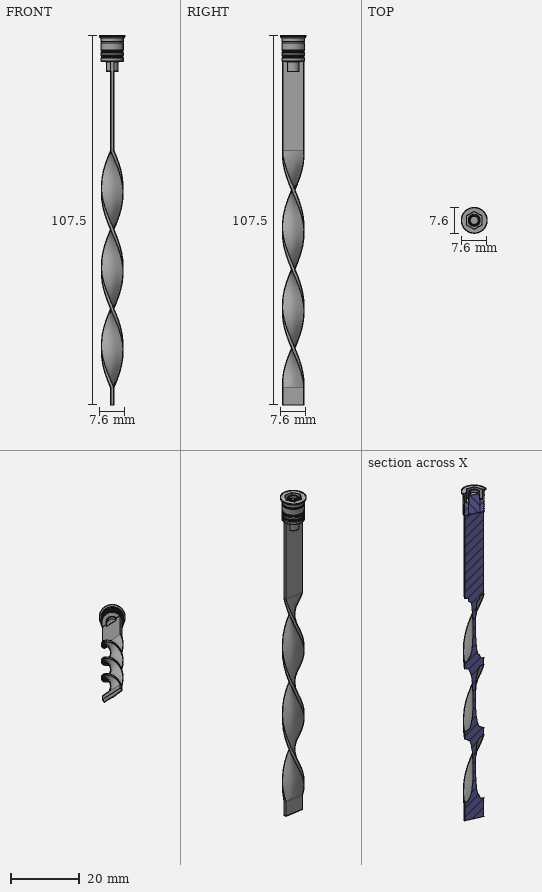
import cadquery as cq
import math

total_height = 107.5
cap_height = 7.5
cap_bottom = total_height - cap_height

flange_radius = 3.8
flange_thickness = 0.3
flange_taper_height = 0.4
cap_diameter = 6.6
cap_radius = cap_diameter / 2
bottom_chamfer = 0.2
upper_groove_depth = 0.1
upper_groove_height = 0.5
upper_groove_floor = 0.3
upper_groove_center = total_height - 1.9
ridge_groove_count = 2
ridge_groove_pitch = 1.5
ridge_groove_depth = 0.2
ridge_groove_floor = 0.3
ridge_crest = 0.6
ridge_groove_height = ridge_groove_pitch - ridge_crest
first_ridge_center = cap_bottom + 1.4
hex_across_flats = 4.5
hex_depth = 3.2

stem_radius = 1.7
collar_radius = 1.8
collar_height = 0.2
stem_bottom = cap_bottom - 2.9
stem_top_recess = 0.2
stem_top = total_height - stem_top_recess
stem_tip_chamfer = 0.2
stem_bore_radius = 1.2
stem_bore_depth = 0.9

strip_thickness = 1.0
strip_width = 6.2
lower_flat_length = 5.0
twist_length = 69.0
half_turns = 3
twist_angle = -180 * half_turns


def strip_blank(bottom, height):
    """Straight strip lying in the YZ plane."""
    return cq.Workplane("XY", origin=(0, 0, bottom)).box(
        strip_thickness, strip_width, height, centered=(True, True, False)
    )


def groove_points(center, depth, height, floor):
    """Profile points, from bottom to top, of a groove with sloping flanks and a flat floor."""
    root_radius = cap_radius - depth
    return [
        (cap_radius, center - height / 2),
        (root_radius, center - floor / 2),
        (root_radius, center + floor / 2),
        (cap_radius, center + height / 2),
    ]


def make_cap():
    """Turned, grooved cap with a hexagonal recess and a bore for the stem."""
    flange_bottom = total_height - flange_thickness
    profile = [
        (0, cap_bottom),
        (cap_radius - bottom_chamfer, cap_bottom),
        (cap_radius, cap_bottom + bottom_chamfer),
    ]
    for index in range(ridge_groove_count):
        center = first_ridge_center + index * ridge_groove_pitch
        profile += groove_points(center, ridge_groove_depth, ridge_groove_height, ridge_groove_floor)
    profile += groove_points(
        upper_groove_center, upper_groove_depth, upper_groove_height, upper_groove_floor
    )
    profile += [
        (cap_radius, flange_bottom - flange_taper_height),
        (flange_radius, flange_bottom),
        (flange_radius, total_height),
        (0, total_height),
    ]
    cap = cq.Workplane("XZ").polyline(profile).close().revolve(360, (0, 0, 0), (0, 1, 0))
    hex_recess = (
        cq.Workplane("XY", origin=(0, 0, total_height - hex_depth))
        .polygon(6, hex_across_flats / math.cos(math.radians(30)))
        .extrude(hex_depth)
        .rotate((0, 0, 0), (0, 0, 1), 30)
    )
    bore = cq.Workplane("XY", origin=(0, 0, cap_bottom)).circle(stem_radius).extrude(cap_height)
    return cap.cut(hex_recess).cut(bore)


def make_stem():
    """Collared stem with a blind bore in its top, slotted below the cap to hold the strip."""
    stem = (
        cq.Workplane("XY", origin=(0, 0, stem_bottom))
        .circle(stem_radius)
        .extrude(stem_top - stem_bottom)
        .faces(">Z")
        .chamfer(stem_tip_chamfer)
        .faces(">Z")
        .workplane(origin=(0, 0, stem_top))
        .hole(2 * stem_bore_radius, stem_bore_depth)
    )
    collar = (
        cq.Workplane("XY", origin=(0, 0, cap_bottom - collar_height))
        .circle(collar_radius)
        .extrude(collar_height)
    )
    stem = stem.union(collar)
    return stem.cut(strip_blank(stem_bottom, cap_bottom - stem_bottom))


def make_strip():
    """Flat strip twisted between its two straight ends."""
    twist_top = lower_flat_length + twist_length
    twisted = (
        cq.Workplane("XY", origin=(0, 0, lower_flat_length))
        .rect(strip_thickness, strip_width)
        .twistExtrude(twist_length, twist_angle)
    )
    lower_flat = strip_blank(0, lower_flat_length)
    upper_flat = strip_blank(twist_top, cap_bottom - twist_top)
    return lower_flat.union(twisted).union(upper_flat)


cap = make_cap()
stem = make_stem()
strip = make_strip()

result = cq.Compound.makeCompound([cap.val(), stem.val(), strip.val()])